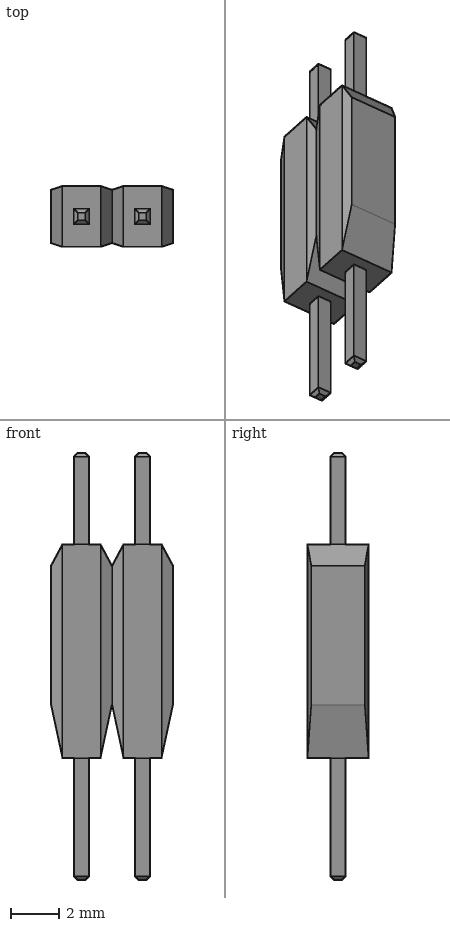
import cadquery as cq


pitch = 2.54
pin_count = 2
upper_pin_length = 1.5 * pitch
lower_pin_length = 2.0 * pitch
housing_height = 3.5 * pitch

end_face_width = pitch * 5 / 8
side_face_depth = pitch * 7 / 8
top_slope_height = housing_height / 10
bottom_slope_height = housing_height / 4

pin_width = pitch / 4
tip_chamfer = pin_width / 4

total_height = lower_pin_length + housing_height + upper_pin_length
housing_bottom = lower_pin_length - total_height / 2
housing_top = housing_bottom + housing_height
half_pitch = pitch / 2
half_end_face = end_face_width / 2
half_side_face = side_face_depth / 2
first_pin_x = -pitch * (pin_count - 1) / 2
pin_positions = [first_pin_x + i * pitch for i in range(pin_count)]


def make_cell(x):
    """Housing cell: an eight-sided column whose side faces slope in toward both ends."""
    column = (
        cq.Workplane("XY", origin=(x, 0, housing_bottom))
        .polyline([
            (-half_end_face, -half_pitch),
            (half_end_face, -half_pitch),
            (half_pitch, -half_side_face),
            (half_pitch, half_side_face),
            (half_end_face, half_pitch),
            (-half_end_face, half_pitch),
            (-half_pitch, half_side_face),
            (-half_pitch, -half_side_face),
        ])
        .close()
        .extrude(housing_height)
    )
    lower_shoulder = housing_bottom + bottom_slope_height
    upper_shoulder = housing_top - top_slope_height
    sloped_profile = (
        cq.Workplane("XZ", origin=(x, 0, 0))
        .polyline([
            (-half_end_face, housing_bottom),
            (half_end_face, housing_bottom),
            (half_pitch, lower_shoulder),
            (half_pitch, upper_shoulder),
            (half_end_face, housing_top),
            (-half_end_face, housing_top),
            (-half_pitch, upper_shoulder),
            (-half_pitch, lower_shoulder),
        ])
        .close()
        .extrude(half_pitch, both=True)
    )
    return column.intersect(sloped_profile)


def make_housing():
    """Neighbouring cells joined along their shared side faces."""
    housing = make_cell(pin_positions[0])
    for x in pin_positions[1:]:
        housing = housing.union(make_cell(x))
    return housing


def make_upper_pin(x):
    """Square pin rising from the top of the housing, chamfered at its free end."""
    return (
        cq.Workplane("XY", origin=(x, 0, housing_top))
        .rect(pin_width, pin_width)
        .extrude(upper_pin_length)
        .faces(">Z")
        .chamfer(tip_chamfer)
    )


def make_lower_pin(x):
    """Square pin hanging from the bottom of the housing, chamfered at its free end."""
    return (
        cq.Workplane("XY", origin=(x, 0, housing_bottom))
        .rect(pin_width, pin_width)
        .extrude(-lower_pin_length)
        .faces("<Z")
        .chamfer(tip_chamfer)
    )


housing = make_housing()
upper_pins = [make_upper_pin(x) for x in pin_positions]
lower_pins = [make_lower_pin(x) for x in pin_positions]

result = cq.Compound.makeCompound([
    housing.solids().val(),
    *[pin.val() for pin in upper_pins],
    *[pin.val() for pin in lower_pins],
])